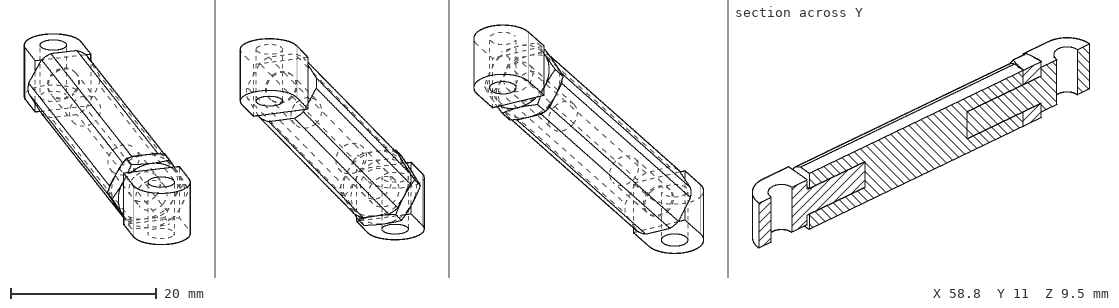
import cadquery as cq
import math

total_length = 58.8
eye_length = 8.6
eye_gap = 0.35
nut_thickness = 3.2

eye_width = 8.0
eye_height = 7.65
pin_hole_diameter = 3.65
stud_diameter = 4.45
stud_engagement = 10.0

across_flats = 9.5
barrel_corner_diameter = 10.25
nut_chamfer_angle = 30.0

across_corners = across_flats / math.cos(math.radians(30))
eye_radius = eye_width / 2
barrel_start = eye_length + eye_gap
nut_end = total_length - eye_length
nut_start = nut_end - nut_thickness
barrel_length = nut_start - barrel_start
left_stud_length = eye_gap + stud_engagement
right_stud_length = nut_thickness + stud_engagement


def rod_along_x(start, length, diameter):
    """Round rod on the X axis."""
    return cq.Workplane("YZ", origin=(start, 0, 0)).circle(diameter / 2).extrude(length)


def hexagon_along_x(start, length):
    """Hexagonal bar on the X axis with corners on +Y and -Y."""
    return cq.Workplane("YZ", origin=(start, 0, 0)).polygon(6, across_corners).extrude(length)


def make_rod_eye(stud_length):
    """Eye with its rounded end at X = 0 and its stud pointing along +X."""
    eye = (
        cq.Workplane("XY", origin=(0, 0, -eye_height / 2))
        .moveTo(eye_length, -eye_radius)
        .lineTo(eye_radius, -eye_radius)
        .threePointArc((0, 0), (eye_radius, eye_radius))
        .lineTo(eye_length, eye_radius)
        .close()
        .extrude(eye_height)
    )
    pin_hole = (
        cq.Workplane("XY", origin=(eye_radius, 0, -eye_height / 2))
        .circle(pin_hole_diameter / 2)
        .extrude(eye_height)
    )
    stud = rod_along_x(eye_length, stud_length, stud_diameter)
    return eye.cut(pin_hole).union(stud)


def make_barrel():
    """Hexagonal barrel with rounded corners and a blind stud hole in each end."""
    barrel = hexagon_along_x(barrel_start, barrel_length)
    barrel = barrel.intersect(rod_along_x(barrel_start, barrel_length, barrel_corner_diameter))
    left_hole = rod_along_x(barrel_start, stud_engagement, stud_diameter)
    right_hole = rod_along_x(nut_start - stud_engagement, stud_engagement, stud_diameter)
    return barrel.cut(left_hole).cut(right_hole)


def make_lock_nut():
    """Hexagonal nut with its corners cut back by a cone at both ends."""
    corner_radius = across_corners / 2
    face_radius = across_flats / 2
    chamfer_depth = (corner_radius - face_radius) * math.tan(math.radians(nut_chamfer_angle))
    chamfer_envelope = (
        cq.Workplane("XY")
        .moveTo(nut_start, 0)
        .lineTo(nut_start, face_radius)
        .lineTo(nut_start + chamfer_depth, corner_radius)
        .lineTo(nut_end - chamfer_depth, corner_radius)
        .lineTo(nut_end, face_radius)
        .lineTo(nut_end, 0)
        .close()
        .revolve(360, (0, 0, 0), (1, 0, 0))
    )
    nut = hexagon_along_x(nut_start, nut_thickness).intersect(chamfer_envelope)
    return nut.cut(rod_along_x(nut_start, nut_thickness, stud_diameter))


def centre_on_origin(body):
    """Move a body so the middle of the whole part lies at the origin."""
    return body.translate((-total_length / 2, 0, 0))


left_eye = make_rod_eye(left_stud_length)
right_eye = (
    make_rod_eye(right_stud_length)
    .rotate((0, 0, 0), (0, 0, 1), 180)
    .translate((total_length, 0, 0))
)
bodies = [left_eye, make_barrel(), make_lock_nut(), right_eye]

result = cq.Compound.makeCompound([centre_on_origin(body).val() for body in bodies])